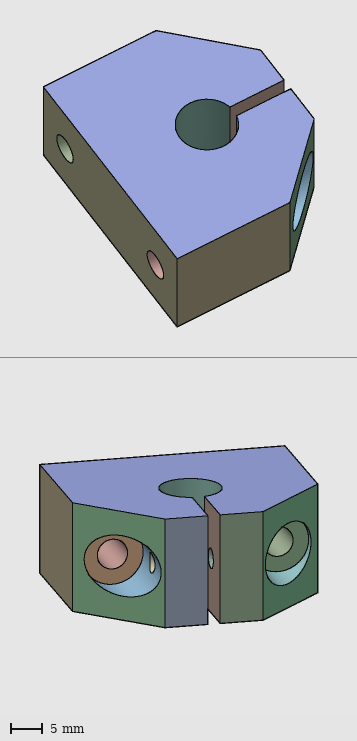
import cadquery as cq

width = 40.0
height = 33.0
thickness = 18.0
corner_cut = 12.0
shoulder_height = height - corner_cut

bore_diameter = 10.0
bore_height = 18.0
slot_width = 2.0

mount_spacing = 27.0
mount_diameter = 4.9
head_diameter = 10.0
head_seat_height = shoulder_height

clamp_diameter = 3.25
clamp_height = 27.0


def make_body():
    """Block with both upper corners cut at 45 degrees, centred on X and Z."""
    block = cq.Workplane("XY").box(width, height, thickness, centered=(True, False, True))
    return block.edges("|Z and >Y").chamfer(corner_cut)


def make_shaft_clamp():
    """Shaft bore along Z joined to a slot that opens at the top."""
    bore = (
        cq.Workplane("XY")
        .center(0, bore_height)
        .circle(bore_diameter / 2)
        .extrude(thickness / 2, both=True)
    )
    slot = (
        cq.Workplane("XY")
        .box(slot_width, height - bore_height, thickness, centered=(True, False, True))
        .translate((0, bore_height, 0))
    )
    return bore.union(slot)


def cylinder_along_y(x, diameter, bottom, top):
    """Cylinder parallel to Y at the given X, on the middle plane of the thickness."""
    return cq.Workplane(
        cq.Solid.makeCylinder(diameter / 2, top - bottom, cq.Vector(x, bottom, 0), cq.Vector(0, 1, 0))
    )


def make_clamp_hole():
    """Through hole along X for the clamp screw."""
    return (
        cq.Workplane("YZ")
        .center(clamp_height, 0)
        .circle(clamp_diameter / 2)
        .extrude(width / 2, both=True)
    )


result = make_body().cut(make_shaft_clamp()).cut(make_clamp_hole())
for side in (-1, 1):
    mount_x = side * mount_spacing / 2
    result = result.cut(cylinder_along_y(mount_x, mount_diameter, 0, height))
    result = result.cut(cylinder_along_y(mount_x, head_diameter, head_seat_height, height))